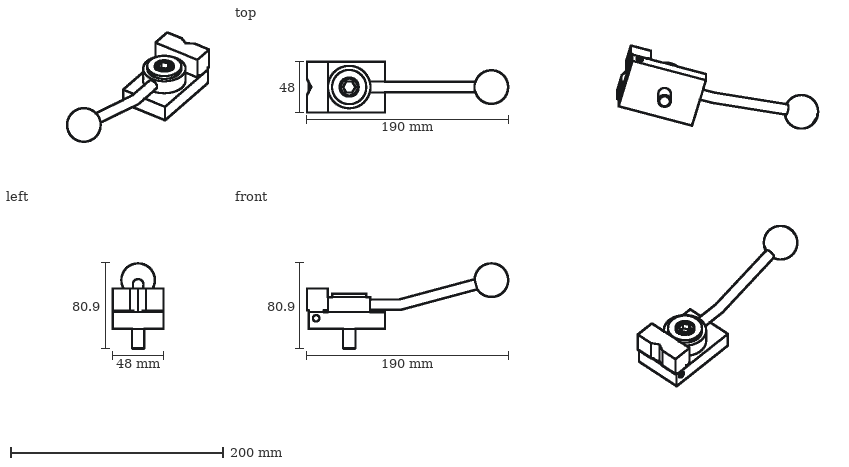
import cadquery as cq
import math


width = 48.0
base_left = -38.2
base_right = 33.8
base_height = 16.0
side_recess_diameter = 6.0
side_recess_depth = 1.0
side_recess_z = 10.0

hub_diameter = 40.0
hub_top = 30.0
boss_diameter = 32.3
boss_top = 33.2
rod_diameter = 10.0
rod_z = 23.0
bend_x = 48.0
bend_angle = 15.0
ball_diameter = 32.0

jaw_left = -39.9
jaw_right = -hub_diameter / 2
jaw_top = 38.2
tongue_height = 1.5
tongue_length = 14.0
groove_half_width = 7.5
groove_depth = 4.2
tongue_center_x = base_left + tongue_length / 2

shank_diameter = 12.0
shank_bottom = -18.8
shank_chamfer = 1.0
head_diameter = 18.0
head_height = 12.0
head_chamfer = 1.1
socket_across_flats = 10.0
socket_depth = 6.0
socket_point_angle = 118.0

overall_length = 190.0
ball_x = jaw_left + overall_length - ball_diameter / 2
inclined_length = (ball_x - bend_x) / math.cos(math.radians(bend_angle))
ball_z = rod_z + inclined_length * math.sin(math.radians(bend_angle))


def cylinder(diameter, bottom, top):
    return cq.Workplane("XY").workplane(offset=bottom).circle(diameter / 2).extrude(top - bottom)


def block(left, right, bottom, top):
    """Block spanning the full width, symmetric about Y = 0."""
    return (
        cq.Workplane("XY")
        .box(right - left, width, top - bottom, centered=(False, True, False))
        .translate((left, 0, bottom))
    )


def make_base():
    plate = block(base_left, base_right, 0, base_height)
    recess = (
        cq.Workplane("XZ", origin=(tongue_center_x, -width / 2, side_recess_z))
        .circle(side_recess_diameter / 2)
        .extrude(-side_recess_depth)
    )
    return plate.cut(recess).cut(cylinder(shank_diameter, 0, base_height))


def make_jaw():
    body = block(jaw_left, jaw_right, base_height + tongue_height, jaw_top)
    tongue = block(base_left, base_left + tongue_length, base_height, base_height + tongue_height)
    groove = (
        cq.Workplane("XY", origin=(jaw_left, 0, base_height))
        .moveTo(0, -groove_half_width)
        .lineTo(groove_depth, 0)
        .lineTo(0, groove_half_width)
        .close()
        .extrude(jaw_top - base_height)
    )
    return body.union(tongue).cut(groove)


def make_screw():
    head = cylinder(head_diameter, boss_top - head_height, boss_top).faces(">Z").chamfer(head_chamfer)
    shank = cylinder(shank_diameter, shank_bottom, boss_top - head_height).faces("<Z").chamfer(shank_chamfer)
    return head.union(shank).cut(make_socket())


def make_socket():
    """Hexagonal socket whose floor is a drill point reaching out to the corners."""
    corner_radius = socket_across_flats / math.sqrt(3)
    point_depth = corner_radius / math.tan(math.radians(socket_point_angle / 2))
    floor_z = boss_top - socket_depth
    hexagon = (
        cq.Workplane("XY", origin=(0, 0, floor_z - point_depth))
        .polygon(6, 2 * corner_radius)
        .extrude(socket_depth + point_depth)
    )
    drilled = (
        cq.Workplane("XZ")
        .moveTo(0, floor_z - point_depth)
        .lineTo(corner_radius, floor_z)
        .lineTo(corner_radius, boss_top)
        .lineTo(0, boss_top)
        .close()
        .revolve(360, (0, 0, 0), (0, 1, 0))
    )
    return hexagon.intersect(drilled)


def make_lever():
    hub = cylinder(hub_diameter, base_height, hub_top).union(cylinder(boss_diameter, hub_top, boss_top))
    rod_path = cq.Workplane("XZ").moveTo(0, rod_z).lineTo(bend_x, rod_z).lineTo(ball_x, ball_z)
    rod = (
        cq.Workplane("YZ", origin=(0, 0, rod_z))
        .circle(rod_diameter / 2)
        .sweep(rod_path, transition="right")
    )
    ball = cq.Workplane("XY", origin=(ball_x, 0, ball_z)).sphere(ball_diameter / 2)
    shank_hole = cylinder(shank_diameter, base_height, boss_top)
    head_hole = cylinder(head_diameter, boss_top - head_height, boss_top)
    return hub.union(rod).union(ball).cut(shank_hole).cut(head_hole)


base = make_base()
jaw = make_jaw()
lever = make_lever()
screw = make_screw()

result = cq.Compound.makeCompound([base.val(), jaw.val(), lever.val(), screw.val()])